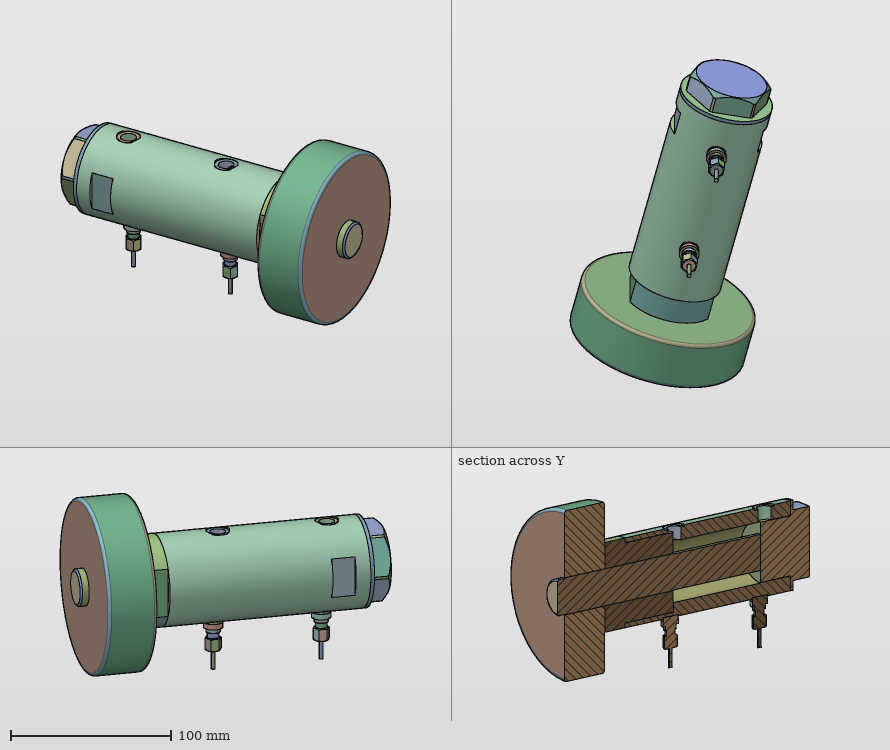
import cadquery as cq


hex_length = 12.9
flange_length = 2.4
barrel_length = 130.2
gland_head_length = 15.7
disc_length = 31.7
total_length = 198.5

barrel_start = hex_length + flange_length
barrel_end = barrel_start + barrel_length
disc_start = barrel_end + gland_head_length
plug_end = 38.7
gland_start = 107.1

barrel_diameter = 59.0
bore_diameter = 39.7
gland_bore_diameter = 52.0
rod_diameter = 23.8
disc_diameter = 112.0
disc_edge_radius = 2.0
rod_end_chamfer = 1.2

hex_across_flats = 46.0
hex_corner_diameter = 52.2
hex_face_diameter = 45.2
hex_chamfer_length = 2.8
hex_turn = -7.0

barrel_flat_start = 24.8
barrel_flat_length = 15.0
barrel_flat_distance = 53.2
gland_flat_distance = 50.0

port_positions = [35.5, 106.2]
port_diameter = 10.0
spotface_diameter = 14.9
spotface_level = 28.4

sensor_positions = [39.0, 109.1]
seat_level = -28.5
neck_diameter = 12.0
collar_top = -30.8
collar_diameter = 12.3
collar_bottom = -34.3
shoulder_diameter = 9.0
shoulder_bottom = -37.3
stem_diameter = 7.3
nut_top = -40.9
nut_bottom = -49.5
nut_across_flats = 9.1
nut_face_diameter = 8.3
nut_chamfer_length = 0.8
cable_diameter = 2.5
cable_bottom = -62.0

corners_per_flat = 2 / 3 ** 0.5


def cylinder_x(diameter, start, end):
    """Cylinder on the X axis between two X positions."""
    return cq.Workplane("YZ", origin=(start, 0, 0)).circle(diameter / 2).extrude(end - start)


def cylinder_z(diameter, x, bottom, top):
    """Vertical cylinder at position x between two Z levels."""
    return cq.Workplane("XY", origin=(x, 0, bottom)).circle(diameter / 2).extrude(top - bottom)


def cut_wrench_flats(body, start, length, distance):
    """Cut two opposite flats, facing +Y and -Y, into a body of the barrel's diameter."""
    depth = (barrel_diameter - distance) / 2
    for side in (-1, 1):
        center = (start + length / 2, side * (distance + depth) / 2, 0)
        body = body.cut(cq.Workplane(origin=center).box(length, depth, barrel_diameter))
    return body


def make_end_cap():
    """Hexagon head, flange and the plug that closes the bore."""
    hexagon = (
        cq.Workplane("YZ")
        .polygon(6, hex_across_flats * corners_per_flat)
        .extrude(hex_length)
        .rotate((0, 0, 0), (1, 0, 0), hex_turn)
    )
    chamfered_envelope = (
        cq.Workplane("XY")
        .polyline([
            (0, 0),
            (0, hex_face_diameter / 2),
            (hex_chamfer_length, hex_corner_diameter / 2),
            (hex_length, hex_corner_diameter / 2),
            (hex_length, 0),
        ])
        .close()
        .revolve(360, (0, 0, 0), (1, 0, 0))
    )
    flange = cylinder_x(barrel_diameter, hex_length, barrel_start)
    plug = cylinder_x(bore_diameter, barrel_start, plug_end)
    return hexagon.intersect(chamfered_envelope).union(flange).union(plug)


def make_barrel():
    """Tube with wrench flats, two ports on top and two sensor seats below."""
    barrel = cylinder_x(barrel_diameter, barrel_start, barrel_end)
    barrel = barrel.cut(cylinder_x(bore_diameter, barrel_start, barrel_end))
    barrel = barrel.cut(cylinder_x(gland_bore_diameter, gland_start, barrel_end))
    barrel = cut_wrench_flats(barrel, barrel_flat_start, barrel_flat_length, barrel_flat_distance)
    for x in port_positions:
        barrel = barrel.cut(cylinder_z(port_diameter, x, 0, spotface_level))
        barrel = barrel.cut(cylinder_z(spotface_diameter, x, spotface_level, barrel_diameter / 2))
    for x in sensor_positions:
        barrel = barrel.cut(cylinder_z(neck_diameter, x, -barrel_diameter / 2, seat_level))
    return barrel


def make_gland():
    """Rod guide: a spigot inside the barrel and a head with wrench flats."""
    spigot = cylinder_x(gland_bore_diameter, gland_start, barrel_end)
    head = cylinder_x(barrel_diameter, barrel_end, disc_start)
    head = cut_wrench_flats(head, barrel_end, gland_head_length, gland_flat_distance)
    return spigot.union(head).cut(cylinder_x(rod_diameter, gland_start, disc_start))


def make_disc():
    """Rounded disc carried on the rod."""
    disc_end = disc_start + disc_length
    disc = cylinder_x(disc_diameter, disc_start, disc_end).edges().fillet(disc_edge_radius)
    return disc.cut(cylinder_x(rod_diameter, disc_start, disc_end))


def make_rod():
    """Rod from the plug to the outer end, chamfered at that end."""
    return cylinder_x(rod_diameter, plug_end, total_length).faces(">X").chamfer(rod_end_chamfer)


def make_sensor_nut(x):
    """Hexagon nut with a corner on the X direction, chamfered at top and bottom."""
    height = nut_top - nut_bottom
    corner_radius = nut_across_flats * corners_per_flat / 2
    hexagon = (
        cq.Workplane("XY", origin=(x, 0, nut_bottom))
        .polygon(6, 2 * corner_radius)
        .extrude(height)
    )
    chamfered_envelope = (
        cq.Workplane("XZ", origin=(x, 0, nut_bottom))
        .polyline([
            (0, 0),
            (nut_face_diameter / 2, 0),
            (corner_radius, nut_chamfer_length),
            (corner_radius, height - nut_chamfer_length),
            (nut_face_diameter / 2, height),
            (0, height),
        ])
        .close()
        .revolve(360, (0, 0, 0), (0, 1, 0))
    )
    return hexagon.intersect(chamfered_envelope)


def make_sensor(x):
    """Stepped sensor hanging from its seat, with a nut and a cable."""
    neck = cylinder_z(neck_diameter, x, collar_top, seat_level)
    collar = cylinder_z(collar_diameter, x, collar_bottom, collar_top)
    shoulder = cylinder_z(shoulder_diameter, x, shoulder_bottom, collar_bottom)
    stem = cylinder_z(stem_diameter, x, nut_top, shoulder_bottom)
    cable = cylinder_z(cable_diameter, x, cable_bottom, nut_bottom)
    nut = make_sensor_nut(x)
    return neck.union(collar).union(shoulder).union(stem).union(nut).union(cable)


end_cap = make_end_cap()
barrel = make_barrel()
gland = make_gland()
disc = make_disc()
rod = make_rod()
sensors = [make_sensor(x) for x in sensor_positions]

result = cq.Compound.makeCompound([
    end_cap.val(),
    barrel.val(),
    gland.val(),
    disc.val(),
    rod.val(),
    *[sensor.val() for sensor in sensors],
])